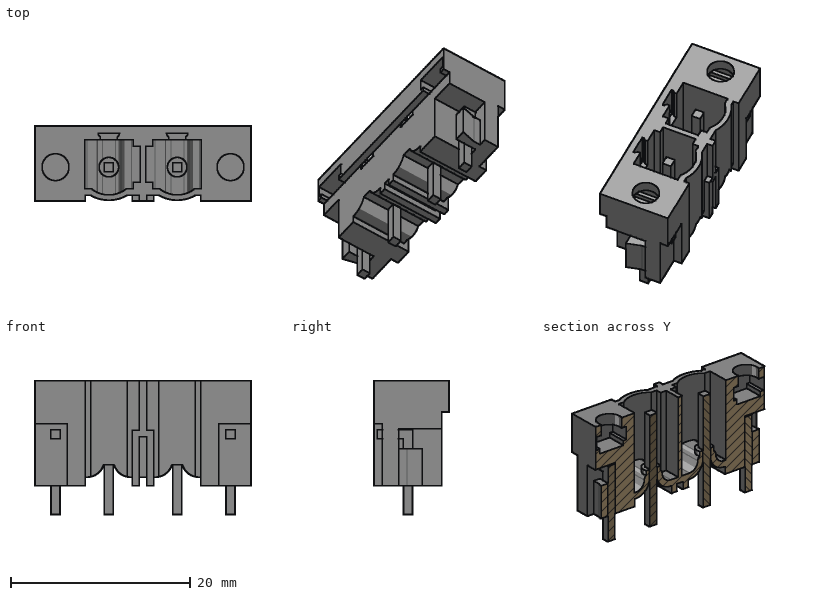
import cadquery as cq
import math


LENGTH = 24.1
HEIGHT = 11.75
FRONT_Y = -3.8
BACK_Y = 3.8
LIP_DEPTH = 0.8
LIP_BOTTOM_Z = 8.22
HALF_LENGTH = LENGTH / 2
DEPTH = BACK_Y - FRONT_Y
SIDES = (-1, 1)

PITCH = 7.62
PIN_WIDTH = 1.03
PIN_TAIL = 3.2
CONTACT_TOP_Z = 10.75
END_X = 9.76
ANCHOR_TOP_Z = 6.28
ANCHOR_TIP_Y = FRONT_Y + 0.37

MIDDLE_HALF = 6.42
FRONT_WALL_Y = -3.15
BULGE_RADIUS = 4.0
BULGE_HALF_WIDTH = 2.03
UNDERSIDE_Z = 0.95

ARCH_TOP_Z = 2.35
ARCH_CENTRE_DX = 2.48
ARCH_CENTRE_Z = 2.95
ARCH_RADIUS = ARCH_CENTRE_Z - UNDERSIDE_Z

CAVITY_HALF = 2.7
CAVITY_FRONT_Y = -2.4
CAVITY_BACK_Y = 3.05
CAVITY_BULGE_RADIUS = 3.1
TROUGH_RADIUS = 1.17
CREST_RADIUS = 0.59
FLOOR_LOW_Z = ARCH_CENTRE_Z - TROUGH_RADIUS
FLOOR_CREST_Z = ARCH_CENTRE_Z + CREST_RADIUS
COLLAR_RADIUS = 1.09
COLLAR_TOP_Z = 4.0

DIVIDER_THICKNESS = 0.62
WIDENING_FRONT_Y = -1.68
WIDENING_BACK_Y = 2.33

GROOVE_HALF_WIDE = 1.17
GROOVE_HALF_NECK = 0.94
GROOVE_NECK_Y = 3.34
GROOVE_WIDE_Y = 3.6
GROOVE_BOTTOM_Z = 7.63

RIB_WIDTH = 0.8
LEGS_WIDTH = 2.42
LEGS_TOP_Z = 6.18
LEG_SLOT_TOP_Z = 5.46

FRONT_RECESS_LENGTH = 3.58
FRONT_RECESS_DEPTH = 0.95
FRONT_RECESS_TOP_Z = 6.91
SIDE_POCKET_FRONT_Y = FRONT_Y + 2.77
SIDE_POCKET_TOP_Z = 6.35
SIDE_POCKET_FLOOR_X = END_X - PIN_WIDTH / 2

CLIP_TOP_Z = 4.15
CLIP_INNER_X = END_X + PIN_WIDTH / 2
CLIP_ROOT_X = HALF_LENGTH - 0.9
CLIP_END_X = HALF_LENGTH - 0.45
CLIP_SLOPE_Y = FRONT_Y + 3.65
CLIP_END_Y = FRONT_Y + 5.4

SCREW_RADIUS = 1.5
SCREW_HOLE_DEPTH = 1.35
NUT_SLOT_HALF = 2.1
NUT_SLOT_STEP = 0.45
NUT_SLOT_FRONT_Y = -2.0
NUT_SHELF_Z = 8.8
NUT_SLOT_BOTTOM_Z = LIP_BOTTOM_Z


def box(x_min, x_max, y_min, y_max, z_min, z_max):
    size = (x_max - x_min, y_max - y_min, z_max - z_min)
    return cq.Workplane("XY").box(*size, centered=False).translate((x_min, y_min, z_min))


def centred_box(x, half_width, y_min, y_max, z_min, z_max):
    return box(x - half_width, x + half_width, y_min, y_max, z_min, z_max)


def side_box(side, x_near, x_far, y_min, y_max, z_min, z_max):
    """Box between two distances from the middle, on the given side."""
    x_ends = sorted((side * x_near, side * x_far))
    return box(*x_ends, y_min, y_max, z_min, z_max)


def cylinder(x, radius, z_min, z_max):
    """Upright cylinder on the pin row."""
    return cq.Workplane("XY").workplane(offset=z_min).center(x, 0).circle(radius).extrude(z_max - z_min)


def bulge(x):
    """Bow-shaped swelling of the front wall around a cavity."""
    sag = BULGE_RADIUS - math.sqrt(BULGE_RADIUS**2 - BULGE_HALF_WIDTH**2)
    return (
        cq.Workplane("XY")
        .workplane(offset=UNDERSIDE_Z)
        .moveTo(x - BULGE_HALF_WIDTH, FRONT_WALL_Y)
        .threePointArc((x, FRONT_WALL_Y - sag), (x + BULGE_HALF_WIDTH, FRONT_WALL_Y))
        .close()
        .extrude(HEIGHT - UNDERSIDE_Z)
    )


def arch(x):
    """Tunnel under a cavity: two curves rising to a narrow flat top."""
    top_dx = ARCH_CENTRE_DX - math.sqrt(ARCH_RADIUS**2 - (ARCH_CENTRE_Z - ARCH_TOP_Z) ** 2)
    sag_angle = (math.pi / 2 - math.asin((ARCH_CENTRE_Z - ARCH_TOP_Z) / ARCH_RADIUS)) / 2
    mid_dx = ARCH_CENTRE_DX - ARCH_RADIUS * math.sin(sag_angle)
    mid_z = ARCH_CENTRE_Z - ARCH_RADIUS * math.cos(sag_angle)
    outline = (
        cq.Workplane("XZ")
        .moveTo(x - ARCH_CENTRE_DX, UNDERSIDE_Z)
        .threePointArc((x - mid_dx, mid_z), (x - top_dx, ARCH_TOP_Z))
        .lineTo(x + top_dx, ARCH_TOP_Z)
        .threePointArc((x + mid_dx, mid_z), (x + ARCH_CENTRE_DX, UNDERSIDE_Z))
    )
    return outline.close().extrude(DEPTH / 2, both=True)


def cavity_plan(x):
    """Straight-sided well with a bulged front, down to the lowest floor level."""
    well = centred_box(x, CAVITY_HALF, CAVITY_FRONT_Y, CAVITY_BACK_Y, FLOOR_LOW_Z, HEIGHT)
    bulge_zone = centred_box(x, CAVITY_HALF, FRONT_Y, CAVITY_FRONT_Y, FLOOR_LOW_Z, HEIGHT)
    return well.union(cylinder(x, CAVITY_BULGE_RADIUS, FLOOR_LOW_Z, HEIGHT).intersect(bulge_zone))


def cavity_floor(x):
    """Ridge along Y under the pin, with a hollow flank and a rounded crest on each side."""
    diagonal = math.sqrt(0.5)
    foot_dx = ARCH_CENTRE_DX
    flank_dx = foot_dx - TROUGH_RADIUS
    crest_dx = flank_dx - CREST_RADIUS
    trough_dx = foot_dx - TROUGH_RADIUS * diagonal
    trough_z = ARCH_CENTRE_Z - TROUGH_RADIUS * diagonal
    shoulder_dx = crest_dx + CREST_RADIUS * diagonal
    shoulder_z = ARCH_CENTRE_Z + CREST_RADIUS * diagonal
    outline = (
        cq.Workplane("XZ")
        .moveTo(x - foot_dx, FLOOR_LOW_Z)
        .threePointArc((x - trough_dx, trough_z), (x - flank_dx, ARCH_CENTRE_Z))
        .threePointArc((x - shoulder_dx, shoulder_z), (x - crest_dx, FLOOR_CREST_Z))
        .lineTo(x + crest_dx, FLOOR_CREST_Z)
        .threePointArc((x + shoulder_dx, shoulder_z), (x + flank_dx, ARCH_CENTRE_Z))
        .threePointArc((x + trough_dx, trough_z), (x + foot_dx, FLOOR_LOW_Z))
    )
    return outline.close().extrude(DEPTH / 2, both=True)


def cavity(side):
    """Space removed for one contact, leaving the shaped floor and the pin collar."""
    x = side * PITCH / 2
    widening = side_box(side, DIVIDER_THICKNESS / 2, PITCH / 2, WIDENING_FRONT_Y, WIDENING_BACK_Y,
                        FLOOR_LOW_Z, HEIGHT)
    collar = cylinder(x, COLLAR_RADIUS, FLOOR_LOW_Z, COLLAR_TOP_Z)
    return cavity_plan(x).union(widening).cut(cavity_floor(x)).cut(collar)


def coding_groove(x):
    """Dovetail groove behind a cavity, open through the back wall below the lip."""
    neck = centred_box(x, GROOVE_HALF_NECK, 0, GROOVE_NECK_Y, GROOVE_BOTTOM_Z, HEIGHT)
    dovetail = (
        cq.Workplane("XY")
        .workplane(offset=GROOVE_BOTTOM_Z)
        .moveTo(x - GROOVE_HALF_NECK, GROOVE_NECK_Y)
        .lineTo(x - GROOVE_HALF_WIDE, GROOVE_WIDE_Y)
        .lineTo(x - GROOVE_HALF_WIDE, BACK_Y)
        .lineTo(x + GROOVE_HALF_WIDE, BACK_Y)
        .lineTo(x + GROOVE_HALF_WIDE, GROOVE_WIDE_Y)
        .lineTo(x + GROOVE_HALF_NECK, GROOVE_NECK_Y)
        .close()
        .extrude(HEIGHT - GROOVE_BOTTOM_Z)
    )
    return neck.union(dovetail)


def centre_rib():
    """Rib on the front that splits into two standing legs."""
    rib = centred_box(0, RIB_WIDTH / 2, FRONT_Y, 0, LEGS_TOP_Z, HEIGHT)
    legs = centred_box(0, LEGS_WIDTH / 2, FRONT_Y, BACK_Y, 0, LEGS_TOP_Z)
    front_slot = centred_box(0, RIB_WIDTH / 2, FRONT_Y, FRONT_WALL_Y, 0, LEG_SLOT_TOP_Z)
    foot_slot = centred_box(0, RIB_WIDTH / 2, FRONT_Y, BACK_Y, 0, UNDERSIDE_Z)
    return rib.union(legs).cut(front_slot).cut(foot_slot)


def end_block(side):
    block = side_box(side, MIDDLE_HALF, HALF_LENGTH, FRONT_Y, BACK_Y, 0, HEIGHT)
    recess = side_box(side, HALF_LENGTH - FRONT_RECESS_LENGTH, HALF_LENGTH,
                      FRONT_Y, FRONT_Y + FRONT_RECESS_DEPTH, 0, FRONT_RECESS_TOP_Z)
    pocket = side_box(side, SIDE_POCKET_FLOOR_X, HALF_LENGTH, SIDE_POCKET_FRONT_Y, BACK_Y,
                      0, SIDE_POCKET_TOP_Z)
    return block.cut(recess).cut(pocket).union(clip(side))


def clip(side):
    """Standing tongue beside the anchor, with an outward slope towards its free end."""
    return (
        cq.Workplane("XY")
        .moveTo(side * CLIP_INNER_X, SIDE_POCKET_FRONT_Y)
        .lineTo(side * CLIP_ROOT_X, SIDE_POCKET_FRONT_Y)
        .lineTo(side * CLIP_ROOT_X, CLIP_SLOPE_Y)
        .lineTo(side * CLIP_END_X, CLIP_END_Y)
        .lineTo(side * CLIP_INNER_X, CLIP_END_Y)
        .close()
        .extrude(CLIP_TOP_Z)
    )


def screw_hole(x):
    """Round hole that opens into a nut slot, entered from the back, with a shelf along each side."""
    hole_bottom_z = HEIGHT - SCREW_HOLE_DEPTH
    lip_back_y = BACK_Y + LIP_DEPTH
    hole = cylinder(x, SCREW_RADIUS, hole_bottom_z, HEIGHT)
    slot = centred_box(x, NUT_SLOT_HALF, NUT_SLOT_FRONT_Y, lip_back_y, NUT_SHELF_Z, hole_bottom_z)
    lower_slot = centred_box(x, NUT_SLOT_HALF - NUT_SLOT_STEP, NUT_SLOT_FRONT_Y, lip_back_y,
                             NUT_SLOT_BOTTOM_Z, NUT_SHELF_Z)
    return hole.union(slot).union(lower_slot)


def contact_pin(x):
    half = PIN_WIDTH / 2
    return centred_box(x, half, -half, half, -PIN_TAIL, CONTACT_TOP_Z)


def anchor(x):
    """L-shaped solder anchor with its arm pointing to the front."""
    half = PIN_WIDTH / 2
    leg = centred_box(x, half, -half, half, -PIN_TAIL, ANCHOR_TOP_Z)
    arm = centred_box(x, half, ANCHOR_TIP_Y, half, ANCHOR_TOP_Z - PIN_WIDTH, ANCHOR_TOP_Z)
    return leg.union(arm)


def make_housing(pins):
    """Housing with a matching hole for every pin that passes through it."""
    middle = centred_box(0, MIDDLE_HALF, FRONT_WALL_Y, BACK_Y, UNDERSIDE_Z, HEIGHT)
    lip = centred_box(0, HALF_LENGTH, BACK_Y, BACK_Y + LIP_DEPTH, LIP_BOTTOM_Z, HEIGHT)
    body = middle.union(lip).union(centre_rib())
    for side in SIDES:
        body = body.union(end_block(side)).union(bulge(side * PITCH / 2))
    for side in SIDES:
        contact_x = side * PITCH / 2
        body = body.cut(arch(contact_x))
        body = body.cut(cavity(side))
        body = body.cut(coding_groove(contact_x))
        body = body.cut(screw_hole(side * END_X))
    for pin in pins:
        body = body.cut(pin)
    return body


contact_pins = [contact_pin(side * PITCH / 2) for side in SIDES]
anchors = [anchor(side * END_X) for side in SIDES]
housing = make_housing(contact_pins + anchors)

result = cq.Compound.makeCompound(
    [housing.val(), *[pin.val() for pin in contact_pins], *[pin.val() for pin in anchors]]
)